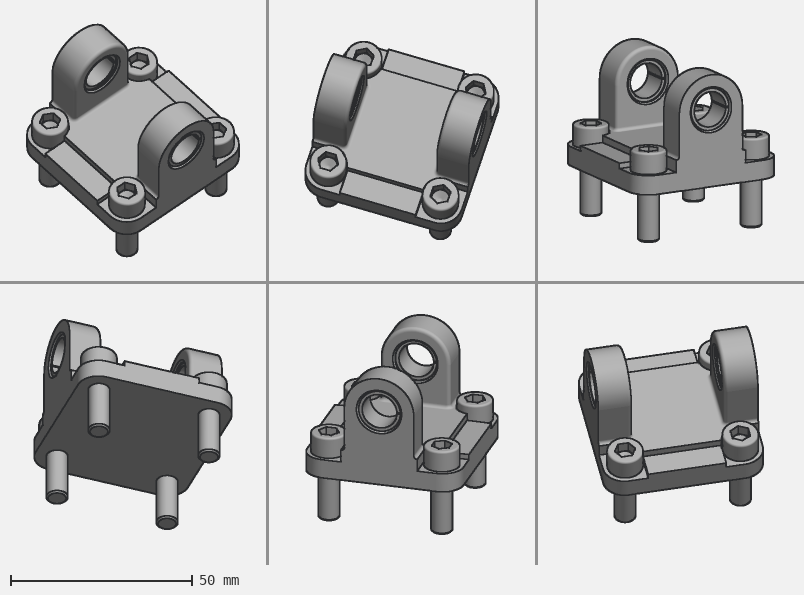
import cadquery as cq

plate_side = 45.0
plate_corner_radius = 6.0
flange_height = 5.5
ledge_height = 7.0
ledge_width = 7.0
deck_height = 9.0

ear_thickness = 9.5
ear_radius = 10.0
ear_edge_radius = 1.05
bore_height = 22.0
bore_chamfer = 0.5

bushing_outer_diameter = 12.0
bushing_inner_diameter = 10.0
bushing_length = 8.0
bushing_slit_width = 0.4

screw_spacing = 32.5
shank_diameter = 6.0
shank_length = 20.0
tip_chamfer = 0.5
head_diameter = 10.0
head_height = 6.0
head_edge_radius = 0.6
socket_across_flats = 5.0
socket_depth = 3.0
socket_cone_depth = 1.45

pocket_radius = 5.25

half_side = plate_side / 2
screw_offset = screw_spacing / 2
pocket_wall_offset = screw_offset - pocket_radius
ear_foot_radius = pocket_wall_offset - ear_radius
ear_inner_x = half_side - ear_thickness
ear_center_x = half_side - ear_thickness / 2
bushing_center_x = half_side - bore_chamfer - bushing_length / 2

sides = (-1, 1)
corners = [(side_x, side_y) for side_x in sides for side_y in sides]


def make_plate():
    """Square plate with rounded corners and a lower ledge along each Y edge."""
    plate = (
        cq.Workplane("XY")
        .rect(plate_side, plate_side)
        .extrude(deck_height)
        .edges("|Z")
        .fillet(plate_corner_radius)
    )
    for side in sides:
        ledge_space = (
            cq.Workplane("XY", origin=(0, side * (half_side - ledge_width / 2), ledge_height))
            .rect(plate_side, ledge_width)
            .extrude(deck_height - ledge_height)
        )
        plate = plate.cut(ledge_space)
    return plate


def make_ear(side):
    """Upright lug with a round top and a rounded border on its inner face."""
    ear = (
        cq.Workplane("YZ", origin=(side * half_side, 0, 0))
        .moveTo(-ear_radius, 0)
        .lineTo(-ear_radius, bore_height)
        .threePointArc((0, bore_height + ear_radius), (ear_radius, bore_height))
        .lineTo(ear_radius, 0)
        .close()
        .extrude(-side * ear_thickness)
    )
    inner_face = "<X" if side > 0 else ">X"
    return ear.faces(inner_face).edges("not <Z").fillet(ear_edge_radius)


def round_ear_feet(plate):
    """Blend each ear into the deck around its two flanks and its inner face."""
    margin = ear_foot_radius / 2
    foot_edges = cq.selectors.BoxSelector(
        (-plate_side, -ear_radius - margin, deck_height - margin),
        (plate_side, ear_radius + margin, deck_height + margin),
        boundingbox=True,
    )
    return plate.edges(foot_edges).fillet(ear_foot_radius)


def make_corner_pocket(side_x, side_y):
    """Square space with a round inner corner, open to both sides of a plate corner."""
    pocket_side = half_side - pocket_wall_offset
    pocket_center = half_side - pocket_side / 2
    inner_x = "<X" if side_x > 0 else ">X"
    inner_y = "<Y" if side_y > 0 else ">Y"
    return (
        cq.Workplane("XY", origin=(side_x * pocket_center, side_y * pocket_center, flange_height))
        .rect(pocket_side, pocket_side)
        .extrude(head_height)
        .edges("|Z")
        .edges(inner_x)
        .edges(inner_y)
        .fillet(pocket_radius)
    )


def make_ear_bore(side):
    """Through bore of an ear, with a chamfer at each mouth."""
    mouth_radius = bushing_outer_diameter / 2 + bore_chamfer
    bore = (
        cq.Workplane("YZ", origin=(side * ear_center_x, 0, bore_height))
        .circle(bushing_outer_diameter / 2)
        .extrude(ear_thickness / 2, both=True)
    )
    for face_x, inward in ((half_side, -1), (ear_inner_x, 1)):
        chamfer_cone = cq.Solid.makeCone(
            mouth_radius,
            bushing_outer_diameter / 2,
            bore_chamfer,
            pnt=cq.Vector(side * face_x, 0, bore_height),
            dir=cq.Vector(side * inward, 0, 0),
        )
        bore = bore.union(cq.Workplane(chamfer_cone))
    return bore


def make_housing():
    """Clevis foot: plate, two bored ears, screw head pockets and screw holes."""
    housing = make_plate()
    for side in sides:
        housing = housing.union(make_ear(side))
    housing = round_ear_feet(housing)
    for side in sides:
        housing = housing.cut(make_ear_bore(side))
    for side_x, side_y in corners:
        housing = housing.cut(make_corner_pocket(side_x, side_y))
        screw_hole = (
            cq.Workplane("XY", origin=(side_x * screw_offset, side_y * screw_offset, 0))
            .circle(shank_diameter / 2)
            .extrude(flange_height)
        )
        housing = housing.cut(screw_hole)
    return housing


def make_bushing(side):
    """Sleeve set flush with the outer chamfer of an ear bore, split lengthwise on its +Y side."""
    sleeve = (
        cq.Workplane("YZ", origin=(side * bushing_center_x, 0, bore_height))
        .circle(bushing_outer_diameter / 2)
        .circle(bushing_inner_diameter / 2)
        .extrude(bushing_length / 2, both=True)
    )
    slit = (
        cq.Workplane("XY", origin=(side * bushing_center_x, bushing_outer_diameter / 2, bore_height))
        .box(bushing_length, bushing_outer_diameter, bushing_slit_width)
    )
    return sleeve.cut(slit)


def make_screw(side_x, side_y):
    """Cylinder head screw whose hexagon socket ends in a cone."""
    shank = (
        cq.Workplane("XY", origin=(0, 0, flange_height))
        .circle(shank_diameter / 2)
        .extrude(-shank_length)
        .faces("<Z")
        .chamfer(tip_chamfer)
    )
    head = (
        cq.Workplane("XY", origin=(0, 0, flange_height))
        .circle(head_diameter / 2)
        .extrude(head_height)
        .faces(">Z")
        .edges()
        .fillet(head_edge_radius)
    )
    head_top = flange_height + head_height
    socket = (
        cq.Workplane("XY", origin=(0, 0, head_top))
        .polygon(6, socket_across_flats, circumscribed=True)
        .extrude(-socket_depth)
    )
    socket_cone = cq.Solid.makeCone(
        socket_across_flats / 2,
        0,
        socket_cone_depth,
        pnt=cq.Vector(0, 0, head_top - socket_depth),
        dir=cq.Vector(0, 0, -1),
    )
    screw = shank.union(head).cut(socket).cut(cq.Workplane(socket_cone))
    socket_turn = 90 if side_x == side_y else 0
    return (
        screw.rotate((0, 0, 0), (0, 0, 1), socket_turn)
        .translate((side_x * screw_offset, side_y * screw_offset, 0))
    )


housing = make_housing()
bushings = [make_bushing(side) for side in sides]
screws = [make_screw(side_x, side_y) for side_x, side_y in corners]

result = cq.Compound.makeCompound([
    housing.val(),
    *[bushing.val() for bushing in bushings],
    *[screw.val() for screw in screws],
])